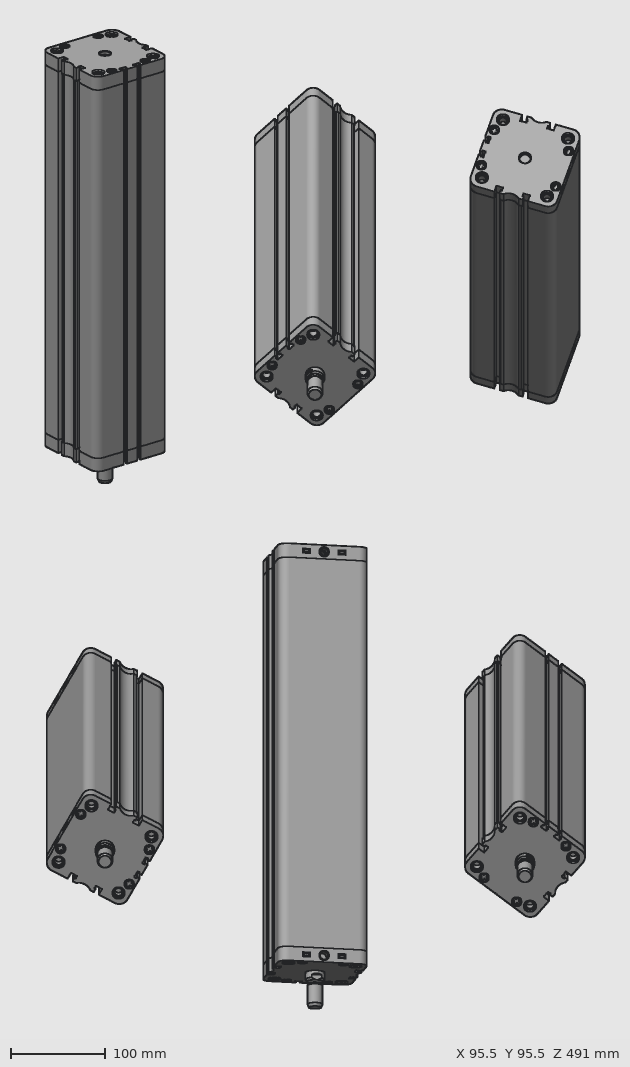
import cadquery as cq

WIDTH = 95.5
HALF = WIDTH / 2
TOTAL_LENGTH = 491.0
ROD_REACH = 38.0
BODY_LENGTH = TOTAL_LENGTH - ROD_REACH
CAP_HEIGHT = 15.0
BARREL_LENGTH = BODY_LENGTH - 2 * CAP_HEIGHT
CORNER_RADIUS = 10.0

SIDE_SLOT_OUTER = 18.5
SIDE_SLOT_LIP = 13.0
SIDE_SLOT_INNER = 11.5
SIDE_SLOT_DEPTH = 7.5
LIP_THICKNESS = 4.0
BARREL_LIP_CHAMFER = 1.5
MID_GROOVE_DIAMETER = 25.0
MID_GROOVE_HALF_WIDTH = 8.5
SENSOR_SLOT_OFFSET = 9.0
SENSOR_SLOT_MOUTH = 4.5
SENSOR_SLOT_WIDTH = 7.5
SENSOR_SLOT_DEPTH = 6.0
SENSOR_LIP = 3.0

MOUNT_PITCH = 72.0
MOUNT_OFFSET = MOUNT_PITCH / 2
MOUNT_MOUTH_DIAMETER = 13.5
MOUNT_STEP_DIAMETER = 10.5
MOUNT_CORE_DIAMETER = 8.5
MOUNT_CHAMFER = (MOUNT_MOUTH_DIAMETER - MOUNT_STEP_DIAMETER) / 2
MOUNT_STEP_DEPTH = 3.5
MOUNT_DEPTH = 13.0
SCREW_X = 41.0
SCREW_Y = 22.0
SCREW_DIAMETER = 10.5
SCREW_SINK = 1.5
CROSS_SPAN = 8.0
CROSS_ARM = 3.5
CROSS_DEPTH = 2.5
CENTRE_MOUTH_DIAMETER = 13.5
CENTRE_DIAMETER = 12.0
CENTRE_CHAMFER = (CENTRE_MOUTH_DIAMETER - CENTRE_DIAMETER) / 2
CENTRE_DEPTH = 4.0
PORT_HEIGHT = 7.5
PORT_MOUTH_DIAMETER = 10.5
PORT_MOUTH_DEPTH = 1.5
PORT_DIAMETER = 8.5
PORT_DEPTH = 10.0
PORT_DUCT_DIAMETER = 5.0
PORT_DUCT_DEPTH = 19.5
POCKET_OFFSET = 19.0
POCKET_LENGTH = 8.0
POCKET_HEIGHT = 5.0
POCKET_DEPTH = 0.5
POCKET_TAPER = 70

ROD_DIAMETER = 20.0
ROD_SHOULDER = 10.0
SHOULDER_TAPER_LENGTH = 2.5
SHOULDER_TAPER_INSET = 1.5
FLAT_WIDTH = 17.0
FLAT_START = 3.0
NECK_DIAMETER = 13.5
NECK_TAPER_LENGTH = 2.0
NECK_LENGTH = 4.0
THREAD_DIAMETER = 16.0
THREAD_TIP_DIAMETER = 13.5
THREAD_TIP_LENGTH = 3.5


def prism(points, length):
    """Closed polygon in XY extruded upward from Z = 0."""
    return cq.Workplane("XY").polyline(points).close().extrude(length)


def drill(x, y, diameter, z_top, depth):
    """Round hole tool going down from z_top."""
    return cq.Workplane("XY", origin=(x, y, z_top)).circle(diameter / 2).extrude(-depth)


def side_slot(length, lip_chamfer):
    """Undercut slot on the +Y side, to the right of the middle."""
    floor = HALF - SIDE_SLOT_DEPTH
    lip_back = HALF - LIP_THICKNESS
    mouth = [(SIDE_SLOT_LIP, HALF)]
    if lip_chamfer:
        mouth = [
            (SIDE_SLOT_LIP, HALF - lip_chamfer),
            (SIDE_SLOT_LIP - lip_chamfer, HALF),
        ]
    points = [
        (SIDE_SLOT_OUTER, HALF),
        (SIDE_SLOT_OUTER, floor),
        (SIDE_SLOT_INNER, floor),
        (SIDE_SLOT_INNER, lip_back),
        (SIDE_SLOT_LIP, lip_back),
    ] + mouth
    return prism(points, length)


def sensor_slot(y, length):
    """T-shaped slot on the +X side, centred at the given Y."""
    floor = HALF - SENSOR_SLOT_DEPTH
    lip_back = HALF - SENSOR_LIP
    mouth = cq.Workplane("XY").box(
        SENSOR_SLOT_DEPTH, SENSOR_SLOT_MOUTH, length, centered=(False, True, False)
    )
    chamber = cq.Workplane("XY").box(
        lip_back - floor, SENSOR_SLOT_WIDTH, length, centered=(False, True, False)
    )
    return mouth.union(chamber).translate((floor, y, 0))


def profile(length, lip_chamfer):
    """Rounded square bar with all of its lengthwise grooves, standing on Z = 0."""
    bar = cq.Workplane("XY").rect(WIDTH, WIDTH).extrude(length).edges("|Z").fillet(CORNER_RADIUS)

    groove_radius = MID_GROOVE_DIAMETER / 2
    groove_axis = HALF + (groove_radius**2 - MID_GROOVE_HALF_WIDTH**2) ** 0.5
    right_slot = side_slot(length, lip_chamfer)
    cutters = right_slot.union(right_slot.mirror("YZ"))
    cutters = cutters.union(drill(0, groove_axis, MID_GROOVE_DIAMETER, length, length))
    bar = bar.cut(cutters).cut(cutters.mirror("XZ"))

    for y in (-SENSOR_SLOT_OFFSET, SENSOR_SLOT_OFFSET):
        bar = bar.cut(sensor_slot(y, length))
    return bar


def chamfered_hole(x, y, diameter, depth, chamfer):
    """Round hole tool in the outer cap face with a 45 degree chamfer at its mouth."""
    hole_radius = diameter / 2
    cone = cq.Solid.makeCone(hole_radius, hole_radius + chamfer, chamfer)
    cone = cone.translate(cq.Vector(x, y, CAP_HEIGHT - chamfer))
    return drill(x, y, diameter, CAP_HEIGHT, depth).union(cq.Workplane(cone))


def mounting_hole(x, y):
    """Chamfered, stepped hole in the outer cap face."""
    step = chamfered_hole(x, y, MOUNT_STEP_DIAMETER, MOUNT_STEP_DEPTH, MOUNT_CHAMFER)
    return step.union(drill(x, y, MOUNT_CORE_DIAMETER, CAP_HEIGHT, MOUNT_DEPTH))


def screw_recess(x, y):
    """Round recess with a cross-shaped socket in its floor."""
    recess = drill(x, y, SCREW_DIAMETER, CAP_HEIGHT, SCREW_SINK)
    socket_plane = cq.Workplane("XY", origin=(x, y, CAP_HEIGHT))
    for length, width in ((CROSS_SPAN, CROSS_ARM), (CROSS_ARM, CROSS_SPAN)):
        recess = recess.union(socket_plane.rect(length, width).extrude(-SCREW_SINK - CROSS_DEPTH))
    return recess


def port(has_duct):
    """Stepped air port going in from the -X side, optionally with a narrow duct behind it."""
    plane = cq.Workplane("YZ", origin=(-HALF, 0, CAP_HEIGHT - PORT_HEIGHT))
    tool = plane.circle(PORT_MOUTH_DIAMETER / 2).extrude(PORT_MOUTH_DEPTH)
    tool = tool.union(plane.circle(PORT_DIAMETER / 2).extrude(PORT_DEPTH))
    if has_duct:
        tool = tool.union(plane.circle(PORT_DUCT_DIAMETER / 2).extrude(PORT_DUCT_DEPTH))
    return tool


def side_pocket(y):
    """Shallow tapered pocket beside the port."""
    plane = cq.Workplane("YZ", origin=(-HALF, y, CAP_HEIGHT - PORT_HEIGHT))
    return plane.rect(POCKET_LENGTH, POCKET_HEIGHT).extrude(POCKET_DEPTH, taper=POCKET_TAPER)


def cap(has_duct):
    """End cap standing on Z = 0 with its outer face up."""
    block = profile(CAP_HEIGHT, lip_chamfer=0)
    for sx in (-1, 1):
        for sy in (-1, 1):
            block = block.cut(mounting_hole(sx * MOUNT_OFFSET, sy * MOUNT_OFFSET))
            block = block.cut(screw_recess(sx * SCREW_X, sy * SCREW_Y))
    block = block.cut(port(has_duct))
    for y in (-POCKET_OFFSET, POCKET_OFFSET):
        block = block.cut(side_pocket(y))
    return block


def rear_cap():
    """Closed cap at the top, with a shallow centre recess."""
    block = cap(has_duct=True)
    block = block.cut(chamfered_hole(0, 0, CENTRE_DIAMETER, CENTRE_DEPTH, CENTRE_CHAMFER))
    return block.translate((0, 0, BODY_LENGTH - CAP_HEIGHT))


def rod_cap():
    """Cap at the bottom, bored for the piston rod."""
    block = cap(has_duct=False).mirror("XY").translate((0, 0, CAP_HEIGHT))
    return block.cut(drill(0, 0, ROD_DIAMETER, CAP_HEIGHT, CAP_HEIGHT))


def barrel():
    """Profiled barrel between the caps."""
    return profile(BARREL_LENGTH, BARREL_LIP_CHAMFER).translate((0, 0, CAP_HEIGHT))


def spanner_flat():
    """Cutter for the flat on the +X side, running out upward in a 45 degree ramp."""
    shank_radius = ROD_DIAMETER / 2
    flat_x = FLAT_WIDTH / 2
    points = [
        (flat_x, -ROD_SHOULDER),
        (shank_radius, -ROD_SHOULDER),
        (shank_radius, -FLAT_START),
        (flat_x, -FLAT_START - (shank_radius - flat_x)),
    ]
    return cq.Workplane("XZ").polyline(points).close().extrude(shank_radius, both=True)


def piston_rod():
    """Turned rod: shank in the cap, shoulder with two flats, neck and threaded end."""
    shank_radius = ROD_DIAMETER / 2
    thread_radius = THREAD_DIAMETER / 2
    neck_end = -ROD_SHOULDER - NECK_LENGTH
    outline = [
        (0, CAP_HEIGHT),
        (shank_radius, CAP_HEIGHT),
        (shank_radius, -ROD_SHOULDER + SHOULDER_TAPER_LENGTH),
        (shank_radius - SHOULDER_TAPER_INSET, -ROD_SHOULDER),
        (thread_radius, -ROD_SHOULDER),
        (NECK_DIAMETER / 2, -ROD_SHOULDER - NECK_TAPER_LENGTH),
        (NECK_DIAMETER / 2, neck_end),
        (thread_radius, neck_end),
        (thread_radius, -ROD_REACH + THREAD_TIP_LENGTH),
        (THREAD_TIP_DIAMETER / 2, -ROD_REACH),
        (0, -ROD_REACH),
    ]
    rod = cq.Workplane("XZ").polyline(outline).close().revolve(360, (0, 0, 0), (0, 1, 0))

    flat = spanner_flat()
    return rod.cut(flat).cut(flat.mirror("YZ"))


result = cq.Compound.makeCompound(
    [barrel().val(), rear_cap().val(), rod_cap().val(), piston_rod().val()]
)